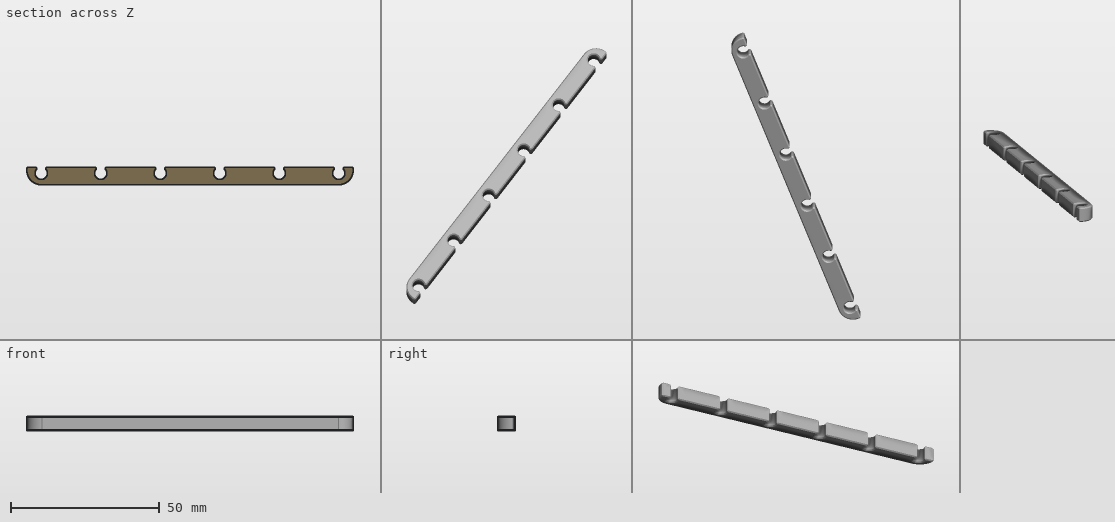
import cadquery as cq

length = 110.0
depth = 6.0
height = 5.0
corner_radius = 5.1
edge_chamfer = 0.4

socket_count = 6
socket_pitch = 20.0
socket_radius = 2.0
socket_setback = 2.1
mouth_width = 3.0

back_y = depth / 2
socket_y = back_y - socket_setback
socket_positions = [
    ((i - (socket_count - 1) / 2) * socket_pitch, socket_y) for i in range(socket_count)
]


def make_bar():
    """Plain bar with both front corners rounded."""
    bar = cq.Workplane("XY").box(length, depth, height)
    return bar.edges("|Z and <Y").fillet(corner_radius)


def make_sockets():
    """Round seats joined to straight mouths, cutting through the full height."""
    seats = cq.Workplane("XY").pushPoints(socket_positions).circle(socket_radius).extrude(height)
    mouth_centers = [(x, y + socket_setback / 2) for x, y in socket_positions]
    mouths = cq.Workplane("XY").pushPoints(mouth_centers).rect(mouth_width, socket_setback).extrude(height)
    return seats.union(mouths).translate((0, 0, -height / 2))


result = make_bar().cut(make_sockets())
result = result.faces(">Y").edges("|Z").chamfer(edge_chamfer)
result = result.faces("<Z or >Z").chamfer(edge_chamfer)